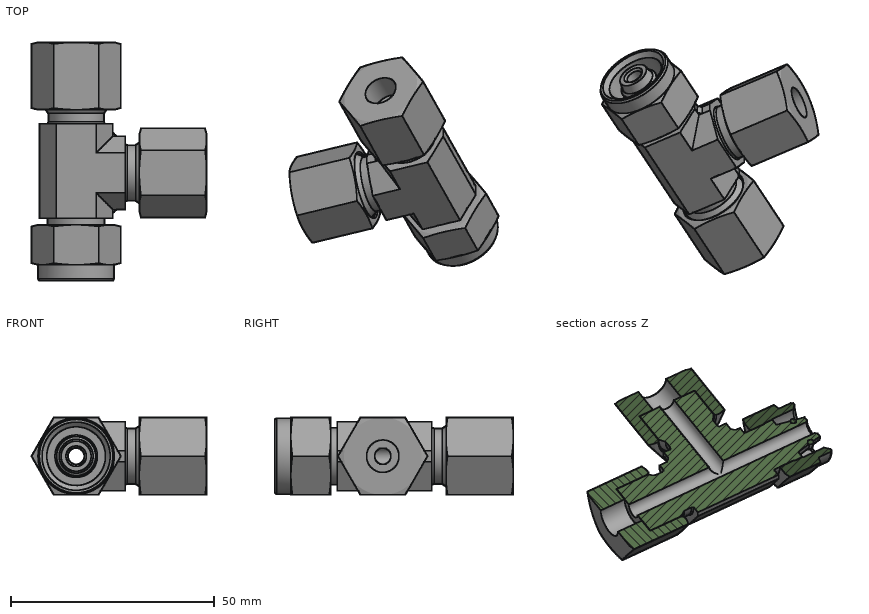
import cadquery as cq
import math


BODY_FLATS = 16.95
BODY_WIDTH = 18.0
ARM_END = 12.05
SWIVEL_ARM_END = 11.2
WEB_LEG = 0.9

THREAD_RADIUS = 8.0
NECK_RADIUS = 6.85
NECK_ROOT_RADIUS = 7.0
NECK_ROOT_LENGTH = 0.5
NECK_END = 14.55
NECK_FLARE_ANGLE = 35
STUB_END = 25.15

COLLAR_RADIUS = 7.0
FLANGE_RADIUS = 7.2
FLANGE_LENGTH = 2.35
NOSE_END = 26.45
NOSE_TIP_RADIUS = 3.7
NOSE_BASE_RADIUS = 5.2
NOSE_HALF_ANGLE = 12
NOSE_BASE_Y = NOSE_END - (NOSE_BASE_RADIUS - NOSE_TIP_RADIUS) / math.tan(math.radians(NOSE_HALF_ANGLE))

BORE_RADIUS = 2.0
BORE_CHAMFER = 0.5

RING_SECTION_RADIUS = 0.7
RING_CENTRE_RADIUS = 4.1
RING_Y = NOSE_END - 3.0

HEX_FLATS = 19.0
HEX_CORNERS = HEX_FLATS / math.cos(math.radians(30))
HEX_CHAMFER_ANGLE = 15
NUT_MOUTH_RADIUS = 8.35

TUBE_NUT_START = 15.5
TUBE_NUT_END = 32.0
TUBE_HOLE_RADIUS = 4.0

SWIVEL_NUT_START = 12.75
SWIVEL_HEX_END = 22.5
SWIVEL_NUT_END = 26.5
BARREL_RADIUS = 9.35
BARREL_CHAMFER = 0.35
BARREL_CHAMFER_LENGTH = 0.5


def revolve_about_y(points):
    """Turn an outline of (radius, y) points about the Y axis."""
    return cq.Workplane("XY").polyline(points).close().revolve(360, (0, 0, 0), (0, 1, 0))


def to_branch(shape):
    """Turn a shape on the +Y axis onto the +X axis."""
    return shape.rotate((0, 0, 0), (0, 0, 1), -90)


def to_swivel(shape):
    """Turn a shape on the +Y axis onto the -Y axis."""
    return shape.rotate((0, 0, 0), (0, 0, 1), 180)


def make_arm(length):
    """Hexagonal bar from the centre along +Y, its side corners cut flat."""
    corners = BODY_FLATS / math.cos(math.radians(30))
    hexagon = cq.Workplane("XZ").polygon(6, corners).extrude(-length)
    trim = cq.Workplane("XY").box(BODY_WIDTH, 2 * length, BODY_FLATS)
    return hexagon.intersect(trim)


def make_corner_web():
    """Small triangular web between the side flats of the +X and +Y arms."""
    side = BODY_WIDTH / 2
    flat_height = 2 * (BODY_FLATS - BODY_WIDTH * math.cos(math.radians(30)))
    outline = [(side, side), (side + WEB_LEG, side), (side, side + WEB_LEG)]
    return cq.Workplane("XY").polyline(outline).close().extrude(flat_height / 2, both=True)


def make_stub():
    """Neck and threaded end beyond an arm; the thread is a plain cylinder."""
    flare_length = (THREAD_RADIUS - NECK_RADIUS) / math.tan(math.radians(NECK_FLARE_ANGLE))
    return revolve_about_y([
        (0, 0),
        (NECK_ROOT_RADIUS, 0),
        (NECK_ROOT_RADIUS, ARM_END),
        (NECK_RADIUS, ARM_END + NECK_ROOT_LENGTH),
        (NECK_RADIUS, NECK_END),
        (THREAD_RADIUS, NECK_END + flare_length),
        (THREAD_RADIUS, STUB_END),
        (0, STUB_END),
    ])


def make_nose():
    """Collar and flange that carry the swivel nut, and the tapered nose ahead of them."""
    flange_start = NOSE_BASE_Y - FLANGE_LENGTH
    return revolve_about_y([
        (0, 0),
        (COLLAR_RADIUS, 0),
        (COLLAR_RADIUS, flange_start),
        (FLANGE_RADIUS, flange_start),
        (FLANGE_RADIUS, NOSE_BASE_Y),
        (NOSE_BASE_RADIUS, NOSE_BASE_Y),
        (NOSE_TIP_RADIUS, NOSE_END),
        (0, NOSE_END),
    ])


def make_bores():
    """Straight bore from the nose to the +Y stub, joined by the bore of the +X stub."""
    run = revolve_about_y([
        (0, -NOSE_END),
        (BORE_RADIUS + BORE_CHAMFER, -NOSE_END),
        (BORE_RADIUS, -NOSE_END + BORE_CHAMFER),
        (BORE_RADIUS, STUB_END),
        (0, STUB_END),
    ])
    branch = cq.Workplane("YZ").circle(BORE_RADIUS).extrude(STUB_END)
    return run.union(branch)


def make_housing(ring):
    """Tee with two stubs and a nose, bored through and grooved for the O-ring."""
    web = make_corner_web()
    body = make_arm(ARM_END).union(to_branch(make_arm(ARM_END))).union(to_swivel(make_arm(SWIVEL_ARM_END)))
    body = body.union(web).union(web.mirror("XZ"))
    body = body.union(make_stub()).union(to_branch(make_stub())).union(to_swivel(make_nose()))
    return body.cut(make_bores()).cut(ring)


def make_ring():
    section = cq.Workplane("XY").center(RING_CENTRE_RADIUS, RING_Y).circle(RING_SECTION_RADIUS)
    return to_swivel(section.revolve(360, (-RING_CENTRE_RADIUS, 0, 0), (-RING_CENTRE_RADIUS, 1, 0)))


def make_hex(start, end):
    """Hexagonal bar on the +Y axis with its corners chamfered at both ends."""
    corner_radius = HEX_CORNERS / 2
    face_radius = HEX_FLATS / 2
    drop = (corner_radius - face_radius) * math.tan(math.radians(HEX_CHAMFER_ANGLE))
    bar = cq.Workplane("XZ", origin=(0, start, 0)).polygon(6, HEX_CORNERS).extrude(start - end)
    envelope = revolve_about_y([
        (0, start),
        (face_radius, start),
        (corner_radius, start + drop),
        (corner_radius, end - drop),
        (face_radius, end),
        (0, end),
    ])
    return bar.intersect(envelope)


def make_tube_nut():
    """Nut that fits over a stub, with a tube hole in its outer end."""
    mouth_depth = NUT_MOUTH_RADIUS - THREAD_RADIUS
    cavity = revolve_about_y([
        (0, TUBE_NUT_START),
        (NUT_MOUTH_RADIUS, TUBE_NUT_START),
        (THREAD_RADIUS, TUBE_NUT_START + mouth_depth),
        (THREAD_RADIUS, STUB_END),
        (TUBE_HOLE_RADIUS, STUB_END),
        (TUBE_HOLE_RADIUS, TUBE_NUT_END),
        (0, TUBE_NUT_END),
    ])
    return make_hex(TUBE_NUT_START, TUBE_NUT_END).cut(cavity)


def make_swivel_nut():
    """Hexagon with a round barrel ahead of it, held behind the flange of the housing."""
    mouth_depth = NUT_MOUTH_RADIUS - FLANGE_RADIUS
    seat_y = NOSE_BASE_Y - FLANGE_LENGTH
    barrel = revolve_about_y([
        (0, SWIVEL_NUT_START),
        (BARREL_RADIUS, SWIVEL_NUT_START),
        (BARREL_RADIUS, SWIVEL_NUT_END - BARREL_CHAMFER_LENGTH),
        (BARREL_RADIUS - BARREL_CHAMFER, SWIVEL_NUT_END),
        (0, SWIVEL_NUT_END),
    ])
    cavity = revolve_about_y([
        (0, SWIVEL_NUT_START),
        (COLLAR_RADIUS, SWIVEL_NUT_START),
        (COLLAR_RADIUS, seat_y),
        (FLANGE_RADIUS, seat_y),
        (FLANGE_RADIUS, SWIVEL_NUT_END - mouth_depth),
        (NUT_MOUTH_RADIUS, SWIVEL_NUT_END),
        (0, SWIVEL_NUT_END),
    ])
    hexagon = make_hex(SWIVEL_NUT_START, SWIVEL_HEX_END)
    return to_swivel(hexagon.union(barrel).cut(cavity))


ring = make_ring()
housing = make_housing(ring)
swivel_nut = make_swivel_nut()

tube_nuts = []
for turn in (0, -90):
    tube_nut = make_tube_nut().rotate((0, 0, 0), (0, 0, 1), turn)
    tube_nuts.append(tube_nut.val())

result = cq.Compound.makeCompound([housing.val(), ring.val(), swivel_nut.val(), *tube_nuts])